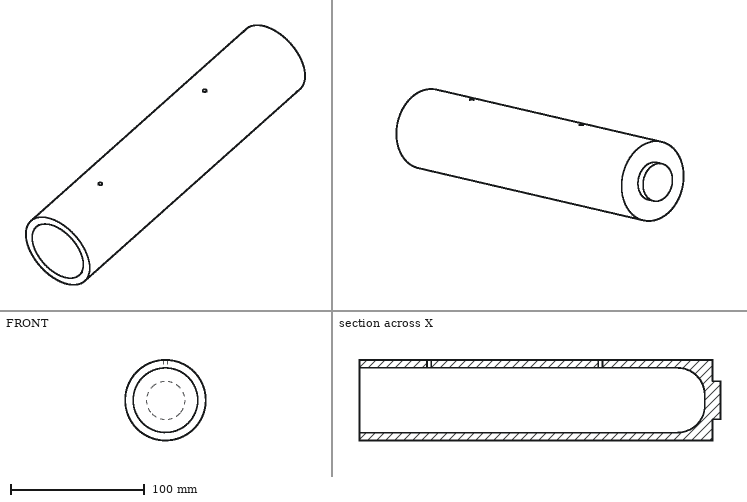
import cadquery as cq

total_length = 269.5
tube_diameter = 60.5
bore_diameter = 48.3

spigot_diameter = 28.5
spigot_length = 6.0

end_wall = 6.0
floor_fillet = 20.0

pin_hole_diameter = 3.0
pin_hole_distances = (52.0, 179.8)

tube_length = total_length - spigot_length
front_y = -total_length / 2
shoulder_y = front_y + tube_length
floor_y = shoulder_y - end_wall


def rod(diameter, start_y, length):
    """Solid cylinder running along +Y from start_y."""
    return cq.Workplane("XZ", origin=(0, start_y, 0)).circle(diameter / 2).extrude(-length)


def bore():
    """Blind bore with a rounded end that leaves a small flat floor."""
    cavity = rod(bore_diameter, front_y, floor_y - front_y)
    return cavity.faces(">Y").edges().fillet(floor_fillet)


def pin_hole(distance):
    """Vertical cutter reaching from the bore axis out through the upper wall."""
    hole = cq.Workplane("XY", origin=(0, front_y + distance, 0))
    return hole.circle(pin_hole_diameter / 2).extrude(tube_diameter)


body = rod(tube_diameter, front_y, tube_length)
body = body.union(rod(spigot_diameter, shoulder_y, spigot_length))
body = body.cut(bore())
for distance in pin_hole_distances:
    body = body.cut(pin_hole(distance))

result = body